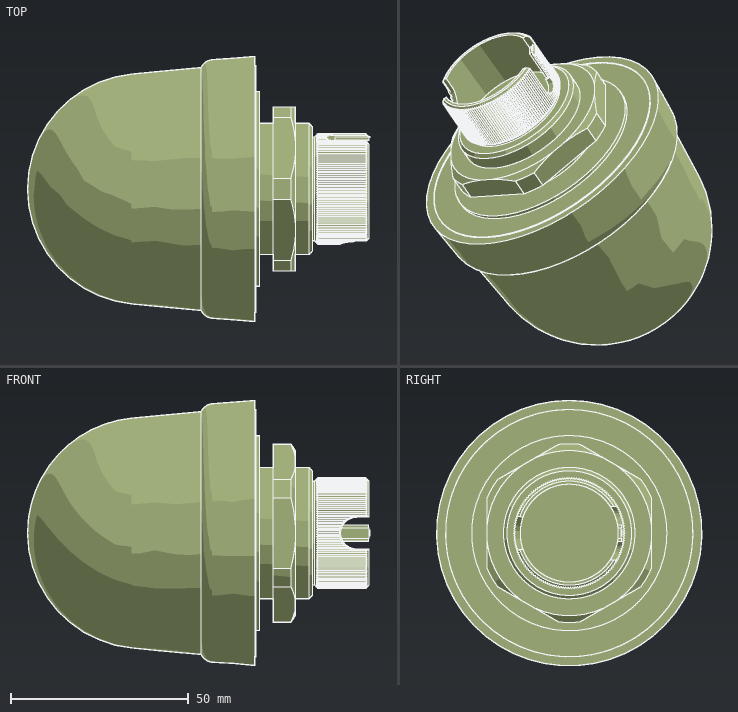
import cadquery as cq
import math


dome_end_x = 29.4
dome_end_radius = 32.4
skirt_end_x = 48.9
skirt_end_radius = 34.2
shoulder_end_x = 52.0
shoulder_end_radius = 36.4
shoulder_radius = 3.9
rim_x = 64.0
rim_diameter = 74.7
rim_radius = rim_diameter / 2

plate_radius = 34.8
plate_seat_x = 61.7
plate_end_x = 64.3
boss_radius = 27.5
boss_end_x = 65.3
stem_radius = 18.5
stem_end_x = 80.2
stem_chamfer = 1.0

knob_start_x = 80.8
knob_end_x = 96.1
knob_radius = 15.6
knob_chamfer = 1.0
neck_radius = knob_radius - knob_chamfer
tooth_count = 144
tooth_depth = 0.4
bore_radius = 13.8
bore_floor_x = 81.4

slot_base_y = 10.6
slot_center_x = 92.7
slot_base_half_width = 3.95
slot_flare_angle = 12.0

gap_center_x = 86.5
gap_outer_z = 7.5
finger_half_width = 2.3
finger_rib_half_width = 1.4
finger_step_y = 14.65
finger_tip_half_width = 0.9
finger_tip_thickness = 0.3
part_end_x = 96.4

nut_start_x = 69.1
nut_end_x = 75.4
nut_half_flats = 23.1
nut_corner_radius = 25.2
nut_chamfer_length = 1.3
nut_chamfer_depth = 1.9


def arc_midpoint(start, end, radius):
    """Midpoint of the arc from start to end that bulges to the left of its travel."""
    chord_x = end[0] - start[0]
    chord_y = end[1] - start[1]
    chord = math.hypot(chord_x, chord_y)
    sagitta = radius - math.sqrt(radius**2 - (chord / 2) ** 2)
    mid_x = (start[0] + end[0]) / 2 - sagitta * chord_y / chord
    mid_y = (start[1] + end[1]) / 2 + sagitta * chord_x / chord
    return mid_x, mid_y


def disc(start_x, end_x, radius):
    return cq.Workplane("YZ", origin=(start_x, 0, 0)).circle(radius).extrude(end_x - start_x)


def make_cover():
    apex = (0, 0)
    dome_end = (dome_end_x, dome_end_radius)
    skirt_end = (skirt_end_x, skirt_end_radius)
    shoulder_end = (shoulder_end_x, shoulder_end_radius)
    sphere_radius = (dome_end_x**2 + dome_end_radius**2) / (2 * dome_end_x)
    profile = (
        cq.Workplane("XZ")
        .moveTo(*apex)
        .threePointArc(arc_midpoint(apex, dome_end, sphere_radius), dome_end)
        .lineTo(*skirt_end)
        .threePointArc(arc_midpoint(skirt_end, shoulder_end, shoulder_radius), shoulder_end)
        .lineTo(rim_x, rim_radius)
        .lineTo(rim_x, plate_radius)
        .lineTo(plate_seat_x, plate_radius)
        .lineTo(plate_seat_x, 0)
        .close()
    )
    return profile.revolve(360, (0, 0, 0), (1, 0, 0))


def make_stem():
    plate = disc(plate_seat_x, plate_end_x, plate_radius)
    boss = disc(plate_end_x, boss_end_x, boss_radius)
    stem = disc(boss_end_x, stem_end_x, stem_radius).faces(">X").chamfer(stem_chamfer)
    neck = disc(stem_end_x, knob_start_x, neck_radius)
    return plate.union(boss).union(stem).union(neck)


def make_knurled_blank():
    """Toothed bar with both ends chamfered."""
    points = []
    for index in range(2 * tooth_count):
        radius = knob_radius - tooth_depth * (index % 2)
        angle = math.pi * index / tooth_count
        points.append((radius * math.cos(angle), radius * math.sin(angle)))
    length = knob_end_x - knob_start_x
    toothed_bar = cq.Workplane("YZ", origin=(knob_start_x, 0, 0)).polyline(points).close().extrude(length)
    envelope = disc(knob_start_x, knob_end_x, knob_radius).faces("<X or >X").chamfer(knob_chamfer)
    return toothed_bar.intersect(envelope)


def round_ended_cutter(side, center_x, center_z, half_width, flare_angle=0):
    """Slot open at the knob end with a round inner end, through the -Y (side -1) or +Y (side 1) wall."""
    outline = (
        cq.Workplane("XZ", origin=(0, side * slot_base_y, center_z))
        .moveTo(part_end_x, -half_width)
        .lineTo(center_x, -half_width)
        .threePointArc((center_x - half_width, 0), (center_x, half_width))
        .lineTo(part_end_x, half_width)
        .close()
    )
    return outline.extrude(-side * (knob_radius - slot_base_y), taper=-flare_angle)


def cut_finger(knob):
    """Free the finger with a gap on each side and narrow its inner part to a rib."""
    gap_center_z = (finger_half_width + gap_outer_z) / 2
    gap_half_width = (gap_outer_z - finger_half_width) / 2
    notch_length = knob_end_x - gap_center_x
    notch_width = finger_half_width - finger_rib_half_width
    notch_center_z = (finger_half_width + finger_rib_half_width) / 2
    for side in (-1, 1):
        gap = round_ended_cutter(1, gap_center_x, side * gap_center_z, gap_half_width)
        notch = (
            cq.Workplane("YZ", origin=(gap_center_x, finger_step_y / 2, side * notch_center_z))
            .rect(finger_step_y, notch_width)
            .extrude(notch_length)
        )
        knob = knob.cut(gap).cut(notch)
    tip = (
        cq.Workplane("YZ", origin=(knob_end_x, finger_step_y, 0))
        .rect(finger_tip_thickness, 2 * finger_tip_half_width)
        .extrude(part_end_x - knob_end_x)
    )
    return knob.union(tip)


def make_base():
    knob = make_knurled_blank().cut(disc(bore_floor_x, knob_end_x, bore_radius))
    slot = round_ended_cutter(-1, slot_center_x, 0, slot_base_half_width, slot_flare_angle)
    return make_stem().union(cut_finger(knob.cut(slot)))


def make_nut():
    """Hexagon with corners on Z, rounded by a cylinder and chamfered at its outer end."""
    length = nut_end_x - nut_start_x
    corner_diameter = 2 * nut_half_flats / math.cos(math.pi / 6)
    hexagon = (
        cq.Workplane("YZ", origin=(nut_start_x, 0, 0))
        .transformed(rotate=(0, 0, 90))
        .polygon(6, corner_diameter)
        .extrude(length)
    )
    envelope = disc(nut_start_x, nut_end_x, nut_corner_radius)
    envelope = envelope.faces(">X").edges().chamfer(nut_chamfer_length, nut_chamfer_depth)
    return hexagon.intersect(envelope).cut(disc(nut_start_x, nut_end_x, stem_radius))


cover = make_cover().solids()
base = make_base().solids()
nut = make_nut().solids()

result = cq.Compound.makeCompound([cover.val(), base.val(), nut.val()])